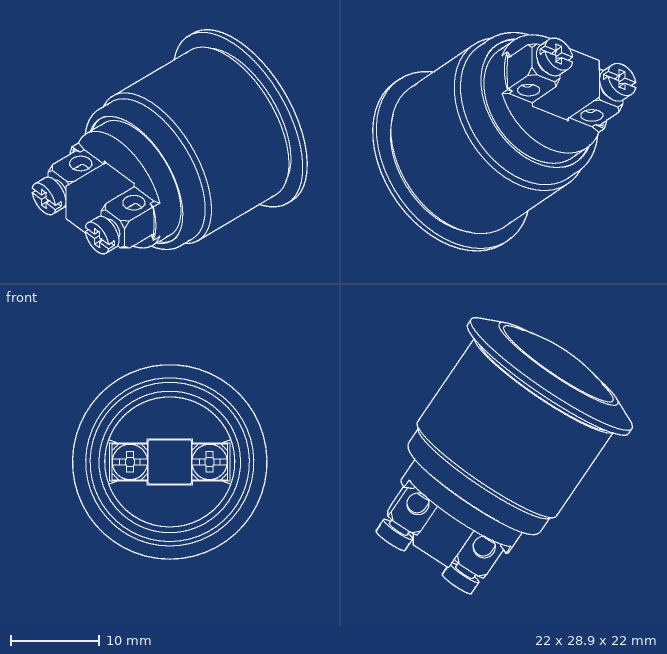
import cadquery as cq
import math


flange_radius = 22 / 2
flange_thickness = 0.7
bevel_top_radius = 16.2 / 2
bevel_top_y = 2.1
dome_radius = 14.9 / 2
dome_top_y = 3.54

neck_radius = 18 / 2
neck_end_y = -0.75
body_radius = 19 / 2
body_end_y = -13.0
body_chamfer = body_radius - neck_radius
collar_end_y = -15.5
collar_fillet = 0.6

recess_radius = 16 / 2
recess_depth = 0.3
hub_radius = 14.7 / 2
hub_end_y = -18.0

lug_end_y = -19.0
lug_sector_angle = 40
lug_slope_angle = 20

terminal_x = 4.5
block_width = 4.0
block_height = 4.1
block_end_y = -23.0
block_corner_cut = 0.75
wire_hole_diameter = 2.5
wire_hole_y = -19.8

pocket_outer_x = 6.8
pocket_clearance = 0.1
pocket_floor_y = -17.5

shank_radius = 2.4 / 2
shank_inner_y = -19.0
head_radius = 4 / 2
head_inner_y = -23.85
head_outer_y = -25.4
slot_width = 0.65
slot_depth = 0.87
cross_arm_width = 0.8
cross_length = 2.32
cross_floor_length = 1.0
cross_taper_depth = 0.5

divider_width = 4.9
divider_height = 5.0
divider_end_y = -24.0
divider_fillet = 0.2


def box_between(x_range, y_range, z_range):
    """Box from its limits along the three axes."""
    sizes = [high - low for low, high in (x_range, y_range, z_range)]
    corner = (x_range[0], y_range[0], z_range[0])
    return cq.Workplane("XY").box(*sizes, centered=False).translate(corner)


def y_cylinder(radius, y_start, y_end, x=0):
    """Cylinder parallel to Y, from y_start down to the lower y_end."""
    return cq.Workplane("XZ", origin=(x, y_start, 0)).circle(radius).extrude(y_start - y_end)


def make_body():
    """Revolved cap, flange, body, collar and hub, with a full sloping rim on the hub."""
    dome_rise = dome_top_y - bevel_top_y
    dome_sphere_radius = (dome_radius**2 + dome_rise**2) / (2 * dome_rise)
    dome_mid_x = dome_radius / 2
    dome_mid_y = dome_top_y - dome_sphere_radius + math.sqrt(dome_sphere_radius**2 - dome_mid_x**2)
    recess_floor_y = collar_end_y + recess_depth
    lug_drop = hub_end_y - lug_end_y
    lug_inner_radius = hub_radius - lug_drop / math.tan(math.radians(lug_slope_angle))
    fillet_mid = collar_fillet * (1 - math.sqrt(0.5))
    profile = (
        cq.Workplane("XY")
        .moveTo(0, dome_top_y)
        .threePointArc((dome_mid_x, dome_mid_y), (dome_radius, bevel_top_y))
        .lineTo(bevel_top_radius, bevel_top_y)
        .lineTo(flange_radius, flange_thickness)
        .lineTo(flange_radius, 0)
        .lineTo(neck_radius, 0)
        .lineTo(neck_radius, neck_end_y)
        .lineTo(body_radius, neck_end_y)
        .lineTo(body_radius, body_end_y + body_chamfer)
        .lineTo(neck_radius, body_end_y)
        .lineTo(neck_radius, collar_end_y + collar_fillet)
        .threePointArc(
            (neck_radius - fillet_mid, collar_end_y + fillet_mid),
            (neck_radius - collar_fillet, collar_end_y),
        )
        .lineTo(recess_radius, collar_end_y)
        .lineTo(recess_radius, recess_floor_y)
        .lineTo(hub_radius, recess_floor_y)
        .lineTo(hub_radius, lug_end_y)
        .lineTo(lug_inner_radius, hub_end_y)
        .lineTo(0, hub_end_y)
        .close()
    )
    return profile.revolve(360, (0, 0, 0), (0, 1, 0)).rotate((0, 0, 0), (0, 1, 0), 90)


def make_rim_gap():
    """Sector above the lugs, cut from the hub rim to leave a lug at each X side."""
    gap_angle = 180 - lug_sector_angle
    outer_radius = (hub_radius + recess_radius) / 2
    profile = (
        cq.Workplane("XY")
        .moveTo(0, hub_end_y)
        .lineTo(outer_radius, hub_end_y)
        .lineTo(outer_radius, lug_end_y)
        .lineTo(0, lug_end_y)
        .close()
    )
    sector = profile.revolve(gap_angle, (0, 0, 0), (0, 1, 0))
    return sector.rotate((0, 0, 0), (0, 1, 0), -gap_angle / 2 - 90)


def make_terminal_pocket():
    """Clearance around the +X terminal block, cut into its lug and the hub."""
    half_height = block_height / 2 + pocket_clearance
    return box_between(
        (divider_width / 2, pocket_outer_x),
        (lug_end_y, pocket_floor_y),
        (-half_height, half_height),
    )


def make_divider_pocket():
    """Clearance around the divider, cut into the hub."""
    half_width = divider_width / 2 + pocket_clearance
    half_height = divider_height / 2 + pocket_clearance
    return box_between(
        (-half_width, half_width),
        (hub_end_y, pocket_floor_y),
        (-half_height, half_height),
    )


def make_block():
    """Terminal block with four cut corners and a wire hole along Z."""
    half_width = block_width / 2
    half_height = block_height / 2
    block = box_between(
        (terminal_x - half_width, terminal_x + half_width),
        (block_end_y, pocket_floor_y),
        (-half_height, half_height),
    )
    for x_side in (-1, 1):
        for z_side in (-1, 1):
            corner = cq.Vector(terminal_x + x_side * half_width, block_end_y, z_side * half_height)
            outward = cq.Vector(x_side, -1, z_side).normalized()
            block = block.cut(corner_cutter(corner, outward))
    wire_hole = (
        cq.Workplane("XY", origin=(terminal_x, wire_hole_y, -half_height))
        .circle(wire_hole_diameter / 2)
        .extrude(block_height)
    )
    return block.cut(wire_hole)


def corner_cutter(corner, outward):
    """Disc whose inner face takes equal lengths off the three edges at a corner."""
    corner_depth = block_corner_cut / math.sqrt(3)
    cover_radius = block_corner_cut
    plane = cq.Plane(origin=corner - outward * corner_depth, normal=outward)
    return cq.Workplane(plane).circle(cover_radius).extrude(block_corner_cut)


def tapered_arm(length_axis, width):
    """Arm of the cross recess: straight to the slot floor, then tapered."""
    straight_y = head_outer_y + slot_depth
    plane = "XY" if length_axis == "X" else "ZY"
    outline = (
        cq.Workplane(plane)
        .moveTo(-cross_length / 2, head_outer_y)
        .lineTo(cross_length / 2, head_outer_y)
        .lineTo(cross_length / 2, straight_y)
        .lineTo(cross_floor_length / 2, straight_y + cross_taper_depth)
        .lineTo(-cross_floor_length / 2, straight_y + cross_taper_depth)
        .lineTo(-cross_length / 2, straight_y)
        .close()
    )
    return outline.extrude(width / 2, both=True).translate((terminal_x, 0, 0))


def make_screw():
    """Screw with a straight slot across the head and a cross recess in it."""
    shank = y_cylinder(shank_radius, shank_inner_y, head_inner_y, terminal_x)
    head = y_cylinder(head_radius, head_inner_y, head_outer_y, terminal_x)
    slot = box_between(
        (terminal_x - head_radius, terminal_x + head_radius),
        (head_outer_y, head_outer_y + slot_depth),
        (-slot_width / 2, slot_width / 2),
    )
    screw = shank.union(head).cut(slot)
    return screw.cut(tapered_arm("X", slot_width)).cut(tapered_arm("Z", cross_arm_width))


def make_divider():
    """Rounded block between the two terminals."""
    divider = box_between(
        (-divider_width / 2, divider_width / 2),
        (divider_end_y, pocket_floor_y),
        (-divider_height / 2, divider_height / 2),
    )
    return divider.edges("|Y or <Y").fillet(divider_fillet)


def on_both_sides(shape, mirror_plane="YZ"):
    """The shape and its mirror image."""
    return (shape, shape.mirror(mirror_plane))


result = make_body()
for gap in on_both_sides(make_rim_gap(), "XY"):
    result = result.cut(gap)
for pocket in on_both_sides(make_terminal_pocket()):
    result = result.cut(pocket)
result = result.cut(make_divider_pocket())
for block in on_both_sides(make_block()):
    result = result.union(block)
for screw in on_both_sides(make_screw()):
    result = result.union(screw)
result = result.union(make_divider())